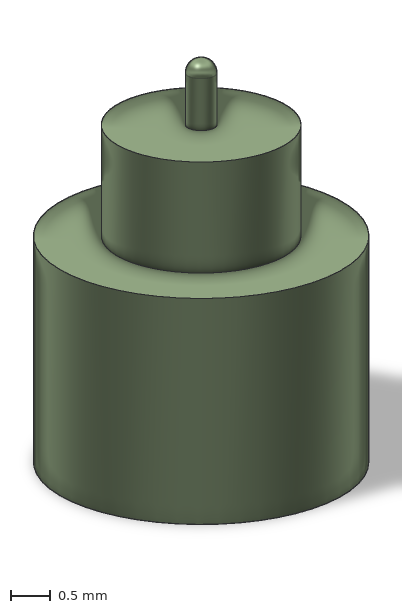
import cadquery as cq

total_height = 5.45
body_diameter = 4.2
collar_diameter = 2.5
collar_height = 1.5
pin_diameter = 0.4
pin_height = 0.9

body_height = total_height - collar_height - pin_height
collar_top = body_height + collar_height
pin_radius = pin_diameter / 2


def cylinder(diameter, height, base_z):
    """Upright cylinder centred on the Z axis."""
    return cq.Workplane("XY").workplane(offset=base_z).circle(diameter / 2).extrude(height)


def round_tipped_pin():
    """Straight pin ending in a hemisphere of the same radius."""
    dome_center_z = total_height - pin_radius
    shank = cylinder(pin_diameter, dome_center_z - collar_top, collar_top)
    dome = cq.Workplane("XY").sphere(pin_radius).translate((0, 0, dome_center_z))
    return shank.union(dome)


body = cylinder(body_diameter, body_height, 0)
collar = cylinder(collar_diameter, collar_height, body_height)

result = body.union(collar).union(round_tipped_pin())